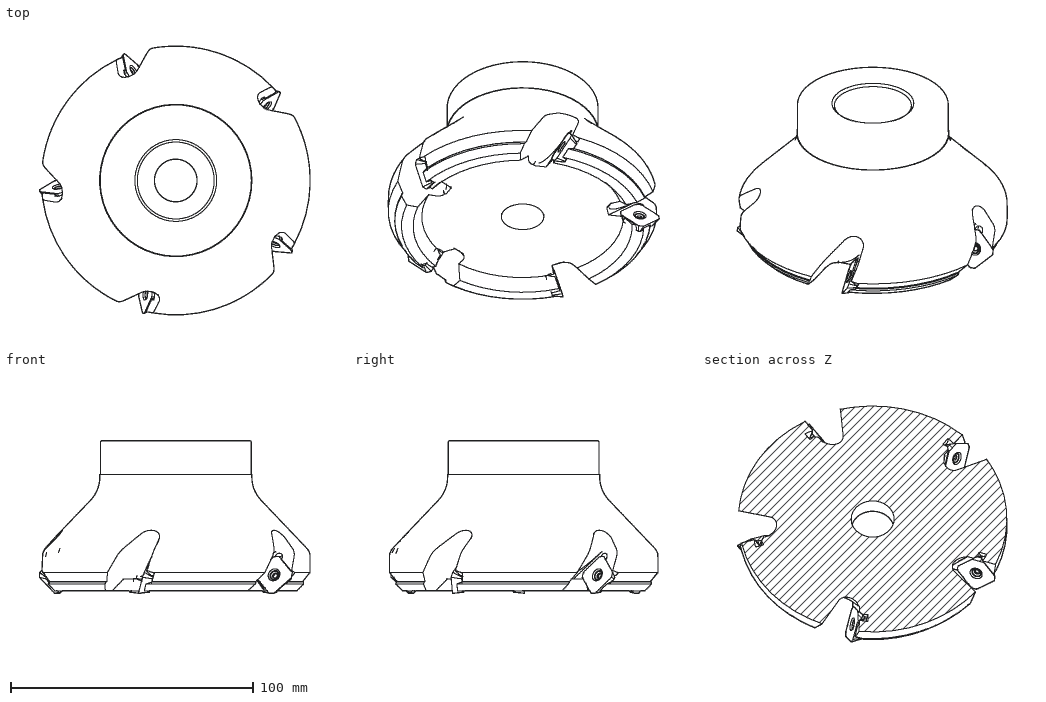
import cadquery as cq
import math


cutter_height = 63.0
body_bottom_z = 1.0
body_radius = 55.5
neck_radius = 62.39 / 2
neck_edge_fillet = 0.8
collar_radius = 62.89 / 2
collar_top_z = 48.9
flare_radius = 14.0
cone_angle = 43.6
shoulder_radius = 5.0
band_top_z = 15.1
band_bottom_z = 8.6
undercut_radius = 52.5
undercut_z = 4.9
rim_radius = 52.8
rim_top_z = 4.6
rim_bottom_z = 3.8

bore_diameter = 31.76
bore_depth = 28.0
bore_chamfer = 1.0
bore_floor_fillet = 0.5
screw_hole_diameter = 17.5

recess_top_z = 5.9
recess_top_radius = 41.6
recess_mouth_radius = 45.2

insert_count = 5
first_insert_angle = 184.3
axial_rake = 20.0
radial_rake = 8.0
insert_center_radius = 48.39
insert_center_z = 7.6
insert_size = 13.0
corner_flat = 2.2
insert_thickness = 3.97
insert_clearance = 25.0

head_ring_outer_diameter = 5.25
head_ring_inner_diameter = 4.1
head_ring_depth = 0.6
socket_mouth_diameter = 3.5
socket_mouth_depth = 0.5
socket_width = 2.2
socket_depth = 1.2

seat_wall_drop = 0.6
gullet_radius = 4.3
gullet_opening_angle = 30.0
gullet_lean = 32.0
gullet_offset = 6.2
gullet_reach = 40.0
gullet_length = 60.0
clearance_margin = 1.7
clearance_run_out = 6.0
clearance_height = 4.4
relief_diameter = 3.2
relief_offset = 0.7

insert_half_height = insert_size / math.sqrt(2) - corner_flat / 2
radial_slope = math.tan(math.radians(radial_rake))
axial_slope = math.tan(math.radians(axial_rake))
insert_plane = cq.Plane(
    origin=(insert_center_radius, -radial_slope * insert_half_height, insert_center_z),
    xDir=(1, radial_slope, 0),
    normal=(radial_slope, -1, axial_slope),
)


def cone_between(plane, start_diameter, end_diameter, depth):
    """A cone frustum that runs from the plane along its normal by the signed depth."""
    start = cq.Workplane(plane).circle(start_diameter / 2)
    return start.workplane(offset=depth).circle(end_diameter / 2).loft()


def make_blank():
    lean = math.radians(cone_angle)
    cone_bottom_r = body_radius - shoulder_radius * (1 - math.cos(lean))
    cone_bottom_z = band_top_z + shoulder_radius * math.sin(lean)
    cone_top_r = collar_radius + flare_radius * (1 - math.cos(lean))
    cone_top_z = cone_bottom_z + (cone_bottom_r - cone_top_r) / math.tan(lean)
    flare_top_z = cone_top_z + flare_radius * math.sin(lean)
    rim_chamfer = rim_bottom_z - body_bottom_z
    profile = (
        cq.Workplane("XZ")
        .moveTo(0, cutter_height)
        .lineTo(neck_radius, cutter_height)
        .lineTo(neck_radius, collar_top_z)
        .lineTo(collar_radius, collar_top_z)
        .lineTo(collar_radius, flare_top_z)
        .tangentArcPoint((cone_top_r, cone_top_z), relative=False)
        .lineTo(cone_bottom_r, cone_bottom_z)
        .tangentArcPoint((body_radius, band_top_z), relative=False)
        .lineTo(body_radius, band_bottom_z)
        .lineTo(undercut_radius, undercut_z)
        .lineTo(rim_radius, rim_top_z)
        .lineTo(rim_radius, rim_bottom_z)
        .lineTo(rim_radius - rim_chamfer, body_bottom_z)
        .lineTo(0, body_bottom_z)
        .close()
    )
    blank = profile.revolve(360, (0, 0, 0), (0, 1, 0))
    return blank.faces(">Z").edges().fillet(neck_edge_fillet)


def make_bore():
    top_plane = cq.Plane(origin=(0, 0, cutter_height))
    bore = cq.Workplane(top_plane).circle(bore_diameter / 2).extrude(-bore_depth)
    bore = bore.faces("<Z").edges().fillet(bore_floor_fillet)
    mouth = cone_between(top_plane, bore_diameter + 2 * bore_chamfer, bore_diameter, -bore_chamfer)
    screw_hole = cq.Workplane(top_plane).circle(screw_hole_diameter / 2).extrude(-cutter_height)
    return bore.union(mouth).union(screw_hole)


def make_underside_recess():
    bottom_plane = cq.Plane(origin=(0, 0, body_bottom_z))
    depth = recess_top_z - body_bottom_z
    return cone_between(bottom_plane, 2 * recess_mouth_radius, 2 * recess_top_radius, depth)


def insert_outline():
    far = insert_half_height
    near = corner_flat / 2
    corners = [
        (far, -near),
        (far, near),
        (near, far),
        (-near, far),
        (-far, near),
        (-far, -near),
        (-near, -far),
        (near, -far),
    ]
    return cq.Workplane(insert_plane).polyline(corners).close()


def make_insert_blank():
    return insert_outline().extrude(-insert_thickness, taper=insert_clearance)


def make_insert():
    ring = cone_between(insert_plane, head_ring_outer_diameter, head_ring_inner_diameter, -head_ring_depth)
    head_plane = cq.Workplane(insert_plane).workplane(offset=-head_ring_depth).plane
    socket_mouth = cone_between(head_plane, socket_mouth_diameter, socket_width, -socket_mouth_depth)
    socket = cq.Workplane(head_plane).polygon(6, socket_width).extrude(-socket_depth)
    return make_insert_blank().cut(ring).cut(socket_mouth).cut(socket)


def make_gullet():
    """Rounded wedge between the seat wall and the opposite, opened-out wall."""
    lean = math.radians(gullet_lean)
    opening = math.radians(gullet_opening_angle)
    across = insert_plane.toWorldCoords((math.cos(lean), -math.sin(lean), 0)) - insert_plane.origin
    section_plane = cq.Plane(
        origin=insert_plane.origin, xDir=across, normal=across.cross(insert_plane.zDir)
    )
    root_x = -gullet_offset
    root_y = gullet_radius - seat_wall_drop
    arc_end_x = root_x - gullet_radius * math.sin(opening)
    arc_end_y = root_y + gullet_radius * math.cos(opening)
    middle_angle = math.pi + opening / 2
    arc_middle = (
        root_x + gullet_radius * math.cos(middle_angle),
        root_y + gullet_radius * math.sin(middle_angle),
    )
    section = (
        cq.Workplane(section_plane)
        .moveTo(gullet_reach, -seat_wall_drop)
        .lineTo(root_x, -seat_wall_drop)
        .threePointArc(arc_middle, (arc_end_x, arc_end_y))
        .lineTo(gullet_reach, arc_end_y + (gullet_reach - arc_end_x) * math.tan(opening))
        .close()
    )
    return section.extrude(gullet_length / 2, both=True)


def make_pocket():
    """Seat of the insert, the flat clearance cut along its inner edge and two corner reliefs."""
    clearance = (
        cq.Workplane(insert_plane)
        .transformed(rotate=(0, 0, 45), offset=(0, 0, -seat_wall_drop))
        .center(-clearance_run_out / 2, clearance_margin / 2)
        .rect(insert_size + clearance_run_out, insert_size + clearance_margin)
        .extrude(seat_wall_drop + clearance_height)
    )
    reliefs = (
        cq.Workplane(insert_plane)
        .pushPoints([(relief_offset, insert_half_height), (insert_half_height, relief_offset)])
        .circle(relief_diameter / 2)
        .extrude(-insert_thickness)
    )
    return make_insert_blank().union(clearance).union(reliefs)


def place(shape, index):
    angle = first_insert_angle + index * 360 / insert_count
    return shape.rotate((0, 0, 0), (0, 0, 1), angle)


body = make_blank().cut(make_bore()).cut(make_underside_recess())
gullet = make_gullet()
pocket = make_pocket()
insert = make_insert()

inserts = []
for i in range(insert_count):
    body = body.cut(place(gullet, i)).cut(place(pocket, i))
    inserts.append(place(insert, i).val())

result = cq.Compound.makeCompound([body.val(), *inserts])